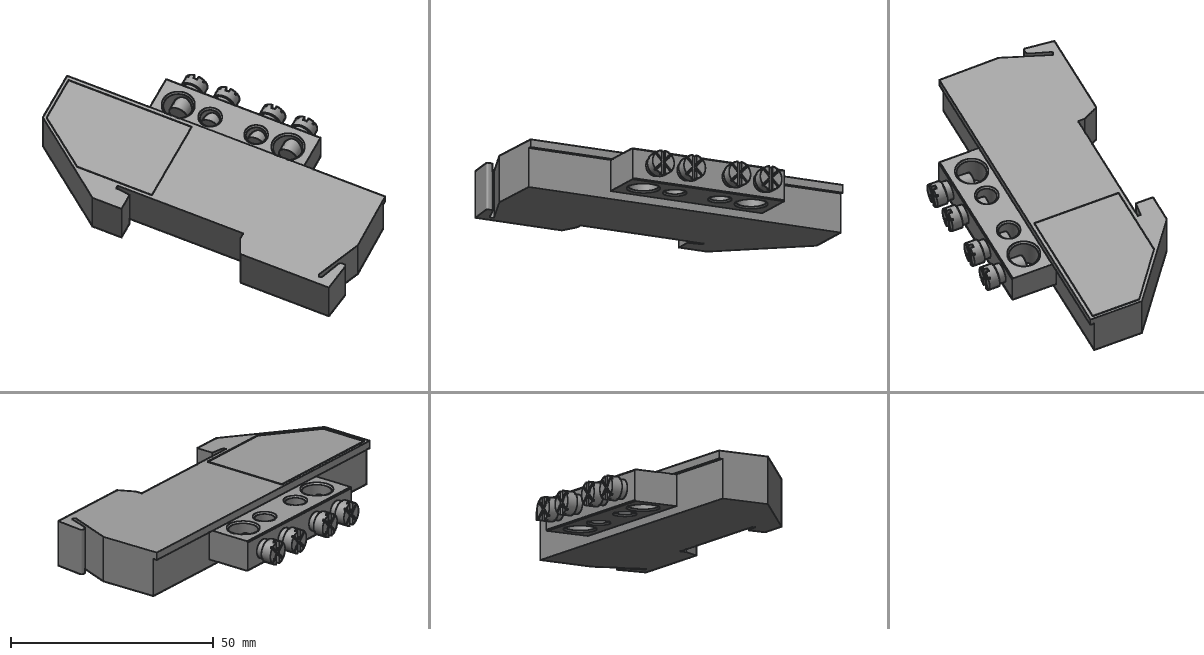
import cadquery as cq


housing_length = 87
housing_thickness = 12.0
housing_top = 31.15
rail_face = 6.0
nose_bottom = 17.05
hook_start = 21.6
hook_end = 29.5
hook_tip = 4.7
hook_root_x = 25.6
hook_root_y = 5.2
foot_start = 59.85
foot_chamfer_top = 4.2
foot_bottom_start = 61.95
foot_end = 86.0
shoulder_x = 86.7
shoulder_bottom = 14.8

tongue_tip_x = 87
tongue_top = 8.1
tongue_tip_width = 1.7
tongue_outer_radius = 0.5
tongue_inner_radius = 1.05
tongue_slot_left_x = 82.2
tongue_slot_left_y = 2.9
tongue_slot_right_x = 83.2
tongue_slot_right_y = 2.35
tongue_slot_end_x = 82.6
tongue_slot_end_y = 2.0

lip_overhang = 1.05
lip_thickness = 2.0
back_face = housing_top - lip_overhang

label_left = 0.9
label_right = 34.45
label_top = 30.1
label_bottom = 7.05
label_nose_bottom = 17.4
label_bottom_start = 14.1
label_depth = 0.2

block_length = 42.1
block_left = 21.9
block_top = 42.1
block_edge_chamfer = 0.3
block_thickness = housing_thickness - 2 * lip_thickness
block_base = lip_thickness
block_center_x = block_left + block_length / 2
block_center_z = block_base + block_thickness / 2

wire_axis_y = 36.0
wire_chamfer = 0.4
outer_wire_offset = 15.0
outer_wire_radius = 7.4 / 2
inner_wire_offset = 6.3
inner_wire_radius = 2.5

screw_top = 46.7
shank_radius = 5.0 / 2
head_radius = 6.0 / 2
head_height = 2.8
driver_slot_width = 1.05
driver_slot_depth = 1.0
mark_width = 0.35
mark_depth = 0.5
mark_angles = (45, -45)

wire_holes = [
    (block_center_x - outer_wire_offset, outer_wire_radius),
    (block_center_x - inner_wire_offset, inner_wire_radius),
    (block_center_x + inner_wire_offset, inner_wire_radius),
    (block_center_x + outer_wire_offset, outer_wire_radius),
]


def housing_outline():
    """Side profile: nose, rail hook, rail face, foot, release tongue and shoulder."""
    tongue_left = tongue_tip_x - tongue_tip_width
    return (
        cq.Workplane("XY")
        .moveTo(0, housing_top)
        .lineTo(0, nose_bottom)
        .lineTo(hook_start, 0)
        .lineTo(hook_end, 0)
        .lineTo(hook_end, hook_tip)
        .lineTo(hook_root_x, hook_root_y)
        .lineTo(hook_root_x, rail_face)
        .lineTo(foot_start, rail_face)
        .lineTo(foot_start, foot_chamfer_top)
        .lineTo(foot_bottom_start, 0)
        .lineTo(foot_end, 0)
        .lineTo(tongue_tip_x, tongue_top)
        .lineTo(tongue_left, tongue_top)
        .lineTo(tongue_slot_right_x, tongue_slot_right_y)
        .threePointArc((tongue_slot_end_x, tongue_slot_end_y), (tongue_slot_left_x, tongue_slot_left_y))
        .lineTo(housing_length, shoulder_bottom)
        .lineTo(shoulder_x, housing_top)
        .close()
    )


def round_tongue_tip(body, x, radius):
    """Round the tongue edge that stands at x on the tongue's top."""
    edge = cq.selectors.NearestToPointSelector((x, tongue_top, housing_thickness / 2))
    return body.edges("|Z").edges(edge).fillet(radius)


def label_recess():
    """Cutter for the shallow label field on the upper side."""
    return (
        cq.Workplane("XY", origin=(0, 0, housing_thickness - label_depth))
        .polyline([
            (label_left, label_top),
            (label_left, label_nose_bottom),
            (label_bottom_start, label_bottom),
            (label_right, label_bottom),
            (label_right, label_top),
        ])
        .close()
        .extrude(label_depth)
    )


def make_housing():
    """Housing whose lip overhangs the terminal block along the upper side."""
    body = housing_outline().extrude(housing_thickness)
    body = round_tongue_tip(body, tongue_tip_x, tongue_outer_radius)
    body = round_tongue_tip(body, tongue_tip_x - tongue_tip_width, tongue_inner_radius)
    below_lip = (
        cq.Workplane("XY", origin=(0, back_face, 0))
        .box(housing_length, lip_overhang, housing_thickness - lip_thickness, centered=False)
    )
    return body.cut(below_lip).cut(label_recess())


def head_groove(x, width, depth, angle):
    """Cutter for a groove right across the head, turned by angle from the Z direction."""
    return (
        cq.Workplane("XY")
        .box(width, 2 * depth, 4 * head_radius)
        .rotate((0, 0, 0), (0, 1, 0), angle)
        .translate((x, screw_top, block_center_z))
    )


def make_screw(x):
    """Cheese-head screw along Y; its flat end stops on the wire hole axis."""
    shank_plane = cq.Plane(origin=(x, wire_axis_y, block_center_z), xDir=(1, 0, 0), normal=(0, 1, 0))
    shank_length = screw_top - wire_axis_y - head_height
    shank = cq.Workplane(shank_plane).circle(shank_radius).extrude(shank_length)
    head = (
        cq.Workplane(shank_plane)
        .workplane(offset=shank_length)
        .circle(head_radius)
        .extrude(head_height)
    )
    screw = shank.union(head).cut(head_groove(x, driver_slot_width, driver_slot_depth, 0))
    for angle in mark_angles:
        screw = screw.cut(head_groove(x, mark_width, mark_depth, angle))
    return screw


def make_wire_hole(x, radius):
    """Through hole along Z with a chamfered mouth at both ends."""
    hole = (
        cq.Workplane("XY", origin=(x, wire_axis_y, block_base))
        .circle(radius)
        .extrude(block_thickness)
    )
    mouth = (
        cq.Workplane("XZ")
        .polyline([(0, 0), (radius + wire_chamfer, 0), (radius, wire_chamfer), (0, wire_chamfer)])
        .close()
        .revolve(360, (0, 0, 0), (0, 1, 0))
    )
    lower_mouth = mouth.translate((x, wire_axis_y, block_base))
    upper_mouth = mouth.mirror("XY").translate((x, wire_axis_y, block_base + block_thickness))
    return hole.union(lower_mouth).union(upper_mouth)


def make_terminal_block(screws):
    """Bar against the back face under the lip, bored for wires and for the screw shanks."""
    block = (
        cq.Workplane("XY")
        .box(block_length, block_top - back_face, block_thickness, centered=False)
        .translate((block_left, back_face, block_base))
        .faces(">Y")
        .edges("|X")
        .chamfer(block_edge_chamfer)
    )
    for x, radius in wire_holes:
        block = block.cut(make_wire_hole(x, radius))
    for screw in screws:
        block = block.cut(screw)
    return block


housing = make_housing()
screws = [make_screw(x) for x, radius in wire_holes]
terminal_block = make_terminal_block(screws)

result = cq.Compound.makeCompound([
    housing.val(),
    terminal_block.val(),
    *[screw.val() for screw in screws],
])